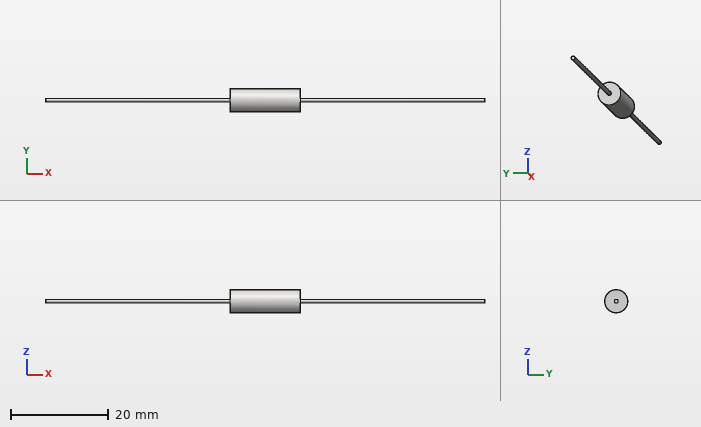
import cadquery as cq

overall_length = 90.4
body_length = 14.5
body_diameter = 4.8
lead_diameter = 0.8

lead_length = (overall_length - body_length) / 2


def make_body():
    """Plain cylindrical body centred on the origin."""
    return (
        cq.Workplane("YZ", origin=(-body_length / 2, 0, 0))
        .circle(body_diameter / 2)
        .extrude(body_length)
    )


def make_lead(side):
    """Straight wire lead that starts on one end face of the body; side is -1 or +1 along X."""
    return (
        cq.Workplane("YZ", origin=(side * body_length / 2, 0, 0))
        .circle(lead_diameter / 2)
        .extrude(side * lead_length)
    )


body = make_body()
leads = [make_lead(side) for side in (-1, 1)]

result = cq.Compound.makeCompound([body.val(), *[lead.val() for lead in leads]])